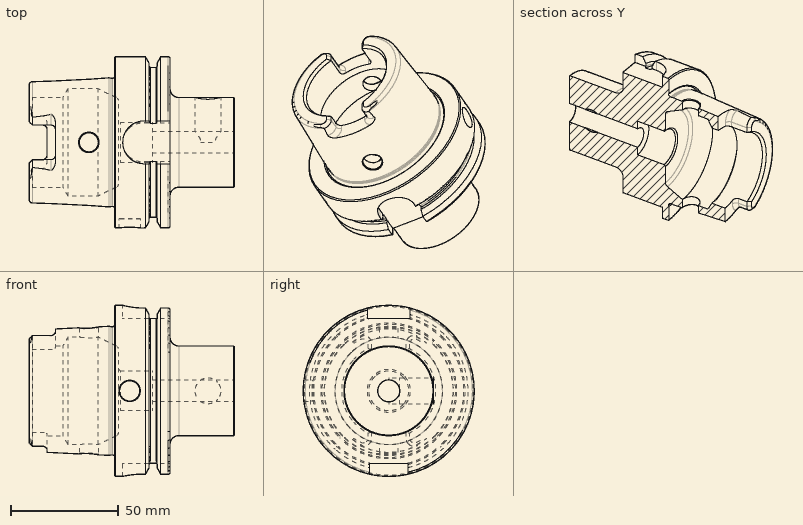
import cadquery as cq
import math

total_length = 95.9
flange_radius = 40.0
overcut = 1.9

shank_tip_round = 1.6
taper_end_x = 37.4
taper_end_radius = 30.2
taper_slope = 0.05
taper_tip_radius = taper_end_radius - taper_slope * (taper_end_x - shank_tip_round)

neck_start_x = 38.3
neck_end_x = 38.9
neck_radius = 30.0
relief_bottom_x = 40.2
relief_bottom_radius = 31.2
relief_outer_radius = 31.7

flange_start_x = 39.8
flange_end_x = 65.9
flange_edge_chamfer = 0.6
flange_back_fillet = 1.0

groove_mouth_start = 54.4
groove_wall_start = 56.1
groove_wall_end = 59.7
groove_flank_angle = math.radians(60)
groove_flank_length = groove_wall_start - groove_mouth_start
groove_flank_rise = groove_flank_length * math.tan(groove_flank_angle)
groove_mouth_end = groove_wall_end + groove_flank_length
groove_wall_radius = flange_radius - groove_flank_rise
groove_floor_radius = 35.0
groove_floor_fillet = 0.6

nose_radius = 21.0
nose_root_fillet = 4.0
nose_end_chamfer = 0.4

bore_radius = 21.0
bore_chamfer_length = 1.5
bore_chamfer_width = 1.0
clamp_groove_start = 15.8
clamp_groove_radius = 25.1
clamp_groove_end = 32.2
clamp_shoulder_angle = math.radians(30)
clamp_shoulder_length = (clamp_groove_radius - bore_radius) * math.tan(clamp_shoulder_angle)
bore_floor_radius = 19.2
bore_floor_fillet = 2.0
bore_cone_angle = math.radians(26)
bore_cone_end_radius = bore_floor_radius + bore_floor_fillet * math.cos(bore_cone_angle)
bore_cone_length = (clamp_groove_radius - bore_cone_end_radius) / math.tan(bore_cone_angle)
bore_cone_end_x = clamp_groove_end + bore_cone_length
bore_floor_x = bore_cone_end_x + bore_floor_fillet * (1 - math.sin(bore_cone_angle))

socket_radius = 9.3
socket_chamfer = 0.8
socket_floor_x = 57.5
through_hole_radius = 5.1

drive_slot_half_width = 8.1
drive_slot_corner_radius = 3.8
drive_slot_top_z = 25.9
drive_slot_flank_angle = math.radians(30)
drive_slot_flank_length = 5.8
drive_slot_start_z = 9.6
upper_drive_slot_depth = 12.3
lower_drive_slot_depth = 8.3
drive_slot_floor_fillet = 2.0

cross_hole_x = 27.9
cross_hole_radius = 4.4
cross_hole_chamfer = 0.4

keyway_start_x = 43.7
keyway_floor_z = 33.9
upper_keyway_width = 20.0
lower_keyway_width = 18.0

chip_hole_x = 47.0
chip_hole_radius = 5.0
chip_hole_depth = 4.5
chip_hole_floor_chamfer = 0.3

screw_x = 83.5
screw_radius = 6.0


def spin(profile):
    """Revolve a closed half profile (x, radius) around the X axis."""
    return profile.close().revolve(360, (0, 0, 0), (1, 0, 0))


def shank_and_neck(profile):
    """Taper from the tip, then the neck and the relief in the flange face."""
    return (
        profile.lineTo(0, taper_tip_radius - shank_tip_round)
        .radiusArc((shank_tip_round, taper_tip_radius), shank_tip_round)
        .lineTo(taper_end_x, taper_end_radius)
        .lineTo(neck_start_x, neck_radius)
        .lineTo(neck_end_x, neck_radius)
        .radiusArc((relief_bottom_x, relief_bottom_radius), -(relief_bottom_x - neck_end_x))
        .lineTo(flange_start_x, relief_outer_radius)
    )


def flange(profile):
    """Flange with its gripper groove."""
    bend = groove_floor_fillet
    return (
        profile.lineTo(flange_start_x, flange_radius - flange_edge_chamfer)
        .lineTo(flange_start_x + flange_edge_chamfer, flange_radius)
        .lineTo(groove_mouth_start, flange_radius)
        .lineTo(groove_wall_start, groove_wall_radius)
        .lineTo(groove_wall_start, groove_floor_radius + bend)
        .radiusArc((groove_wall_start + bend, groove_floor_radius), -bend)
        .lineTo(groove_wall_end - bend, groove_floor_radius)
        .radiusArc((groove_wall_end, groove_floor_radius + bend), -bend)
        .lineTo(groove_wall_end, groove_wall_radius)
        .lineTo(groove_mouth_end, flange_radius)
        .lineTo(flange_end_x - flange_back_fillet, flange_radius)
        .radiusArc((flange_end_x, flange_radius - flange_back_fillet), flange_back_fillet)
    )


def nose(profile):
    """Cylindrical nose with a root fillet against the flange."""
    return (
        profile.lineTo(flange_end_x, nose_radius + nose_root_fillet)
        .radiusArc((flange_end_x + nose_root_fillet, nose_radius), -nose_root_fillet)
        .lineTo(total_length - nose_end_chamfer, nose_radius)
        .lineTo(total_length, nose_radius - nose_end_chamfer)
        .lineTo(total_length, 0)
    )


def inner_space():
    """Shank bore with its clamping groove, the stepped socket and the through hole."""
    return spin(
        cq.Workplane("XZ")
        .lineTo(0, bore_radius + bore_chamfer_width)
        .lineTo(bore_chamfer_length, bore_radius)
        .lineTo(clamp_groove_start, bore_radius)
        .lineTo(clamp_groove_start + clamp_shoulder_length, clamp_groove_radius)
        .lineTo(clamp_groove_end, clamp_groove_radius)
        .lineTo(bore_cone_end_x, bore_cone_end_radius)
        .radiusArc((bore_floor_x, bore_floor_radius), bore_floor_fillet)
        .lineTo(bore_floor_x, socket_radius + socket_chamfer)
        .lineTo(bore_floor_x + socket_chamfer, socket_radius)
        .lineTo(socket_floor_x, socket_radius)
        .lineTo(socket_floor_x, through_hole_radius)
        .lineTo(total_length, through_hole_radius)
        .lineTo(total_length, 0)
    )


def drive_slot_section(x, growth):
    """Cross-section of a drive slot at x: a parallel channel whose sides round over the finger corners.

    Past the top of each rounded corner the side slopes down again, clear of the taper.
    Growth moves every side outward.
    """
    corner = drive_slot_corner_radius - growth
    corner_y = drive_slot_half_width + drive_slot_corner_radius
    corner_z = drive_slot_top_z - drive_slot_corner_radius
    flank_y = corner_y + corner * math.sin(drive_slot_flank_angle)
    flank_z = corner_z + corner * math.cos(drive_slot_flank_angle)
    outer_y = flank_y + drive_slot_flank_length * math.cos(drive_slot_flank_angle)
    outer_z = flank_z - drive_slot_flank_length * math.sin(drive_slot_flank_angle)
    return (
        cq.Workplane("YZ", origin=(x, 0, 0))
        .moveTo(corner - corner_y, drive_slot_start_z)
        .lineTo(corner_y - corner, drive_slot_start_z)
        .lineTo(corner_y - corner, corner_z)
        .threePointArc((corner_y, corner_z + corner), (flank_y, flank_z))
        .lineTo(outer_y, outer_z)
        .lineTo(outer_y, flange_radius)
        .lineTo(-outer_y, flange_radius)
        .lineTo(-outer_y, outer_z)
        .lineTo(-flank_y, flank_z)
        .threePointArc((-corner_y, corner_z + corner), (corner - corner_y, corner_z))
        .close()
    )


def drive_slot(depth):
    """Drive slot cut from the tip at +Z, with a rounded floor edge and a chamfered mouth."""
    channel = drive_slot_section(0, 0).extrude(depth).faces(">X").edges("not(<Z or >Z)")
    channel = channel.edges("not(<Y or >Y)").fillet(drive_slot_floor_fillet)
    mouth = cq.Solid.makeLoft(
        [
            drive_slot_section(0, shank_tip_round).wires().val(),
            drive_slot_section(shank_tip_round, 0).wires().val(),
        ],
        True,
    )
    return channel.union(cq.Workplane(mouth))


def cut_cross_hole(body):
    """Cut a hole along Z through both walls of the shank and chamfer its outer rims."""
    hole = (
        cq.Workplane("XY", origin=(cross_hole_x, 0, -flange_radius))
        .circle(cross_hole_radius)
        .extrude(2 * flange_radius)
    )
    upper_rim_zone = cq.selectors.BoxSelector(
        (cross_hole_x - cross_hole_radius, -cross_hole_radius, clamp_groove_radius + overcut),
        (cross_hole_x + cross_hole_radius, cross_hole_radius, taper_end_radius),
    )
    lower_rim_zone = cq.selectors.BoxSelector(
        (cross_hole_x - cross_hole_radius, -cross_hole_radius, -taper_end_radius),
        (cross_hole_x + cross_hole_radius, cross_hole_radius, -clamp_groove_radius - overcut),
    )
    drilled = body.cut(hole)
    return drilled.edges(upper_rim_zone + lower_rim_zone).chamfer(cross_hole_chamfer)


def keyway(width):
    """Flat-bottomed keyway at +Z with a round end, open at the back of the flange."""
    end_center_x = keyway_start_x + width / 2
    run_out_x = flange_end_x + overcut
    return (
        cq.Workplane("XY", origin=(0, 0, keyway_floor_z))
        .moveTo(run_out_x, -width / 2)
        .lineTo(end_center_x, -width / 2)
        .threePointArc((keyway_start_x, 0), (end_center_x, width / 2))
        .lineTo(run_out_x, width / 2)
        .close()
        .extrude(flange_radius)
    )


def chip_hole():
    """Blind round hole in the -Y side of the flange, with a chamfered floor edge."""
    return (
        cq.Workplane("XZ", origin=(chip_hole_x, -flange_radius + chip_hole_depth, 0))
        .circle(chip_hole_radius)
        .extrude(chip_hole_depth + overcut)
        .faces(">Y")
        .chamfer(chip_hole_floor_chamfer)
    )


def radial_cylinder(inner_y, outer_y):
    """Cylinder of the screw size along +Y."""
    return (
        cq.Workplane("XZ", origin=(screw_x, outer_y, 0))
        .circle(screw_radius)
        .extrude(outer_y - inner_y)
    )


def build_holder():
    """Tool holder: shank, flange and nose in one piece."""
    outline = nose(flange(shank_and_neck(cq.Workplane("XZ"))))
    body = spin(outline).cut(inner_space())
    body = body.cut(drive_slot(upper_drive_slot_depth))
    body = body.cut(drive_slot(lower_drive_slot_depth).mirror("XY"))
    body = cut_cross_hole(body)
    body = body.cut(keyway(upper_keyway_width))
    body = body.cut(keyway(lower_keyway_width).mirror("XY"))
    body = body.cut(chip_hole())
    return body.cut(radial_cylinder(0, nose_radius + overcut))


def build_clamping_screw():
    """Screw that fills the threaded hole, flush with the nose at its outer end."""
    return radial_cylinder(through_hole_radius, nose_radius)


holder = build_holder()
clamping_screw = build_clamping_screw()
result = cq.Compound.makeCompound([holder.solids().val(), clamping_screw.val()])